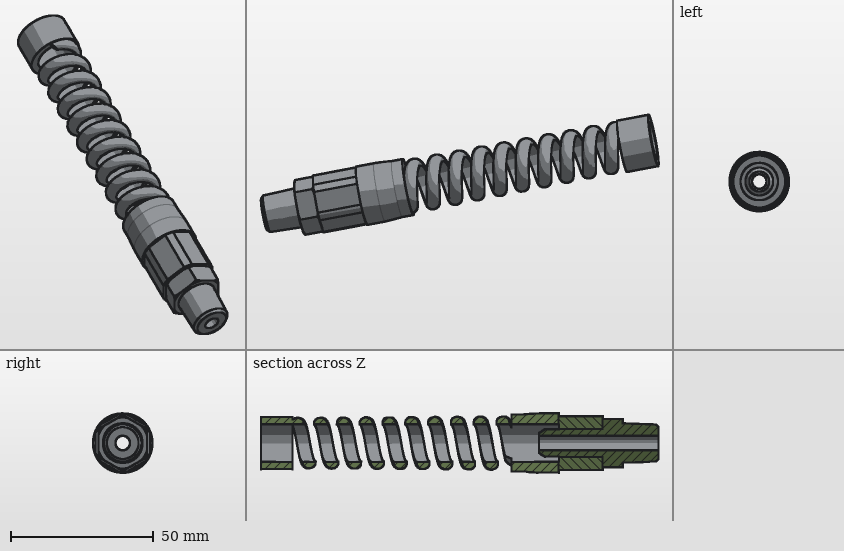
import cadquery as cq
import math

LENGTH = 139.6

GUARD_BORE_RADIUS = 6.5
SLEEVE_RADIUS = 9.2
SLEEVE_LENGTH = 11.2

COIL_START = 10.6
COIL_LENGTH = 77.6
COIL_TURNS = 9.7
COIL_PITCH = COIL_LENGTH / COIL_TURNS
COIL_START_ANGLE = 165
COIL_START_RADIUS = GUARD_BORE_RADIUS
COIL_END_RADIUS = 7.1
WIRE_RADIUS = 2.4
WIRE_END_SKEW = 30

COLLAR_START = 88.0
COLLAR_RIM_END = 91.9
COLLAR_BAND_START = 98.1
COLLAR_RIM_RADIUS = 10.0
COLLAR_BAND_RADIUS = 10.5
SWELL_MIDDLE_RISE = 0.7

NUT_START = 104.5
NUT_END = 120.0
NUT_RADIUS = 10.2
NUT_ACROSS_FLATS = 19.0

SPIGOT_REACH = 7.0
SPIGOT_START = NUT_START - SPIGOT_REACH
SPIGOT_RADIUS = 4.9
SPIGOT_TIP_RADIUS = 3.5
SPIGOT_TIP_LENGTH = 2.1
FITTING_BORE_RADIUS = 2.5
HEX_END = 127.0
HEX_ACROSS_FLATS = 17.0
HEX_FACE_RADIUS = 9.0
HEX_CHAMFER = 0.4
STEM_ROOT_RADIUS = 7.0
STEM_TIP_RADIUS = 6.5
STEM_CHAMFER = 1.0

CORNERS_PER_FLATS = 2 / math.sqrt(3)


def cylinder(radius, start, end):
    """Solid cylinder on the X axis."""
    return cq.Workplane("YZ", origin=(start, 0, 0)).circle(radius).extrude(end - start)


def hexagon(across_flats, start, end):
    """Hexagonal bar on the X axis, with two flats facing -Y and +Y."""
    outline = cq.Workplane("YZ", origin=(start, 0, 0)).transformed(rotate=(0, 0, 90))
    return outline.polygon(6, across_flats * CORNERS_PER_FLATS).extrude(end - start)


def turned(profile):
    """Revolve a closed XY profile about the X axis."""
    return profile.close().revolve(360, (0, 0, 0), (1, 0, 0))


def make_coil():
    """Left-hand helix with skewed end faces; made along Z and then turned onto the X axis."""
    widening = math.degrees(math.atan2(COIL_END_RADIUS - COIL_START_RADIUS, COIL_LENGTH))
    path = cq.Wire.makeHelix(COIL_PITCH, COIL_LENGTH, COIL_START_RADIUS, angle=widening, lefthand=True)

    lead_slope = COIL_PITCH / (2 * math.pi * COIL_START_RADIUS)
    skew = math.radians(WIRE_END_SKEW)
    stretched_radius = WIRE_RADIUS / (math.cos(skew) - math.sin(skew) * lead_slope)
    end_plane = cq.Plane(
        origin=(COIL_START_RADIUS, 0, 0),
        xDir=(1, 0, 0),
        normal=(0, -math.cos(skew), -math.sin(skew)),
    )
    coil = cq.Workplane(end_plane).ellipse(WIRE_RADIUS, stretched_radius).sweep(path, isFrenet=True)

    along_x = coil.rotate((0, 0, 0), (0, 1, 0), 90)
    return along_x.rotate((0, 0, 0), (1, 0, 0), -COIL_START_ANGLE).translate((COIL_START, 0, 0))


def make_collar():
    """Collar that swells in a shallow arc from its rim to its band."""
    swell_middle = (
        (COLLAR_RIM_END + COLLAR_BAND_START) / 2,
        COLLAR_RIM_RADIUS + SWELL_MIDDLE_RISE * (COLLAR_BAND_RADIUS - COLLAR_RIM_RADIUS),
    )
    profile = (
        cq.Workplane("XY")
        .moveTo(COLLAR_START, 0)
        .lineTo(COLLAR_START, COLLAR_RIM_RADIUS)
        .lineTo(COLLAR_RIM_END, COLLAR_RIM_RADIUS)
        .threePointArc(swell_middle, (COLLAR_BAND_START, COLLAR_BAND_RADIUS))
        .lineTo(NUT_START, COLLAR_BAND_RADIUS)
        .lineTo(NUT_START, 0)
    )
    return turned(profile)


def make_guard():
    """Sleeve, coil and collar; the bore leaves the wire flat on its inner side."""
    sleeve = cylinder(SLEEVE_RADIUS, 0, SLEEVE_LENGTH)
    bore = cylinder(GUARD_BORE_RADIUS, 0, NUT_START)
    return make_coil().union(sleeve).union(make_collar()).cut(bore)


def make_nut():
    """Nut with rounded corners between its flats, fitting closely round the spigot."""
    flats = hexagon(NUT_ACROSS_FLATS, NUT_START, NUT_END)
    hole = cylinder(SPIGOT_RADIUS, NUT_START, NUT_END)
    return cylinder(NUT_RADIUS, NUT_START, NUT_END).intersect(flats).cut(hole)


def make_fitting_hexagon():
    """Hexagon whose corners are chamfered by cones at both ends."""
    corner_radius = HEX_ACROSS_FLATS * CORNERS_PER_FLATS / 2
    envelope = turned(
        cq.Workplane("XY")
        .moveTo(NUT_END, 0)
        .lineTo(NUT_END, HEX_FACE_RADIUS)
        .lineTo(NUT_END + HEX_CHAMFER, corner_radius)
        .lineTo(HEX_END - HEX_CHAMFER, corner_radius)
        .lineTo(HEX_END, HEX_FACE_RADIUS)
        .lineTo(HEX_END, 0)
    )
    return hexagon(HEX_ACROSS_FLATS, NUT_END, HEX_END).intersect(envelope)


def make_fitting():
    """Spigot with a tapered tip, chamfered hexagon and tapered stem."""
    spigot = turned(
        cq.Workplane("XY")
        .moveTo(SPIGOT_START, 0)
        .lineTo(SPIGOT_START, SPIGOT_TIP_RADIUS)
        .lineTo(SPIGOT_START + SPIGOT_TIP_LENGTH, SPIGOT_RADIUS)
        .lineTo(NUT_END, SPIGOT_RADIUS)
        .lineTo(NUT_END, 0)
    )
    stem = turned(
        cq.Workplane("XY")
        .moveTo(HEX_END, 0)
        .lineTo(HEX_END, STEM_ROOT_RADIUS)
        .lineTo(LENGTH - STEM_CHAMFER, STEM_TIP_RADIUS)
        .lineTo(LENGTH, STEM_TIP_RADIUS - STEM_CHAMFER)
        .lineTo(LENGTH, 0)
    )
    bore = cylinder(FITTING_BORE_RADIUS, SPIGOT_START, LENGTH)
    return make_fitting_hexagon().union(spigot).union(stem).cut(bore)


guard = make_guard()
nut = make_nut()
fitting = make_fitting()

result = cq.Compound.makeCompound([guard.val(), nut.val(), fitting.val()])